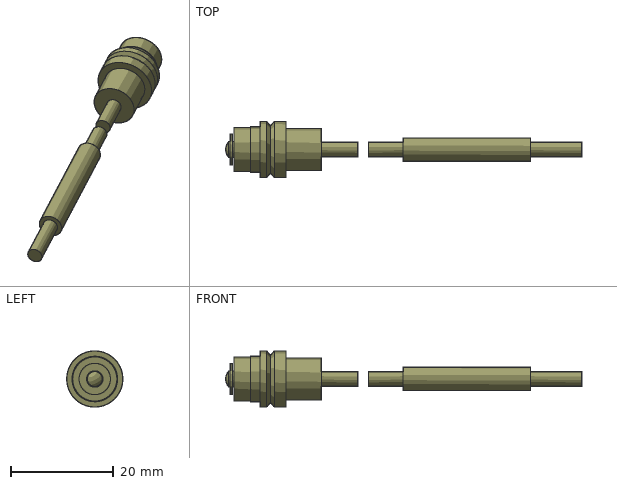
import cadquery as cq

overall_length = 69.8

lens_radius = 1.5
lens_dome_height = 0.55
collar_radius = 1.6
disc_radius = 3.1
disc_front = 0.9
disc_rear = 1.3
nose_radius = 4.3
nose_front = 1.6
shoulder_radius = 4.5
shoulder_front = 4.9
flange_radius = 5.5
flange_front = 6.8
flange_rear = 11.9
groove_front = 8.0
groove_width = 1.55
groove_depth = 0.85
boss_radius = 4.1
boss_rear = 18.8
cable_radius = 1.5
stub_rear = 25.9

cable_front = 28.0
sleeve_radius = 2.3
sleeve_front = 34.75
sleeve_rear = 59.75


def cylinder(front, rear, radius):
    """Solid cylinder on the X axis between two positions."""
    return cq.Workplane("YZ", origin=(front, 0, 0)).circle(radius).extrude(rear - front)


def revolve_about_x(profile):
    """Full turn about X of a closed profile drawn in the XY plane."""
    return profile.revolve(360, (0, 0, 0), (1, 0, 0))


def make_lens():
    """Spherical dome standing proud of the collar."""
    sphere_radius = (lens_radius**2 + lens_dome_height**2) / (2 * lens_dome_height)
    half_radius = lens_radius / 2
    half_radius_x = sphere_radius - (sphere_radius**2 - half_radius**2) ** 0.5
    profile = (
        cq.Workplane("XY")
        .threePointArc((half_radius_x, half_radius), (lens_dome_height, lens_radius))
        .lineTo(lens_dome_height, 0)
        .close()
    )
    return revolve_about_x(profile)


def make_flange():
    """Flange disc with a V groove around its rim."""
    groove_profile = cq.Workplane("XY").polyline([
        (groove_front, flange_radius),
        (groove_front + groove_width / 2, flange_radius - groove_depth),
        (groove_front + groove_width, flange_radius),
    ]).close()
    return cylinder(flange_front, flange_rear, flange_radius).cut(revolve_about_x(groove_profile))


def make_connector():
    return (
        make_lens()
        .union(cylinder(lens_dome_height, nose_front, collar_radius))
        .union(cylinder(disc_front, disc_rear, disc_radius))
        .union(cylinder(nose_front, shoulder_front, nose_radius))
        .union(cylinder(shoulder_front, flange_front, shoulder_radius))
        .union(make_flange())
        .union(cylinder(flange_rear, boss_rear, boss_radius))
        .union(cylinder(boss_rear, stub_rear, cable_radius))
    )


def make_cable():
    core = cylinder(cable_front, overall_length, cable_radius)
    return core.union(cylinder(sleeve_front, sleeve_rear, sleeve_radius))


connector = make_connector()
cable = make_cable()

result = cq.Compound.makeCompound([connector.val(), cable.val()])